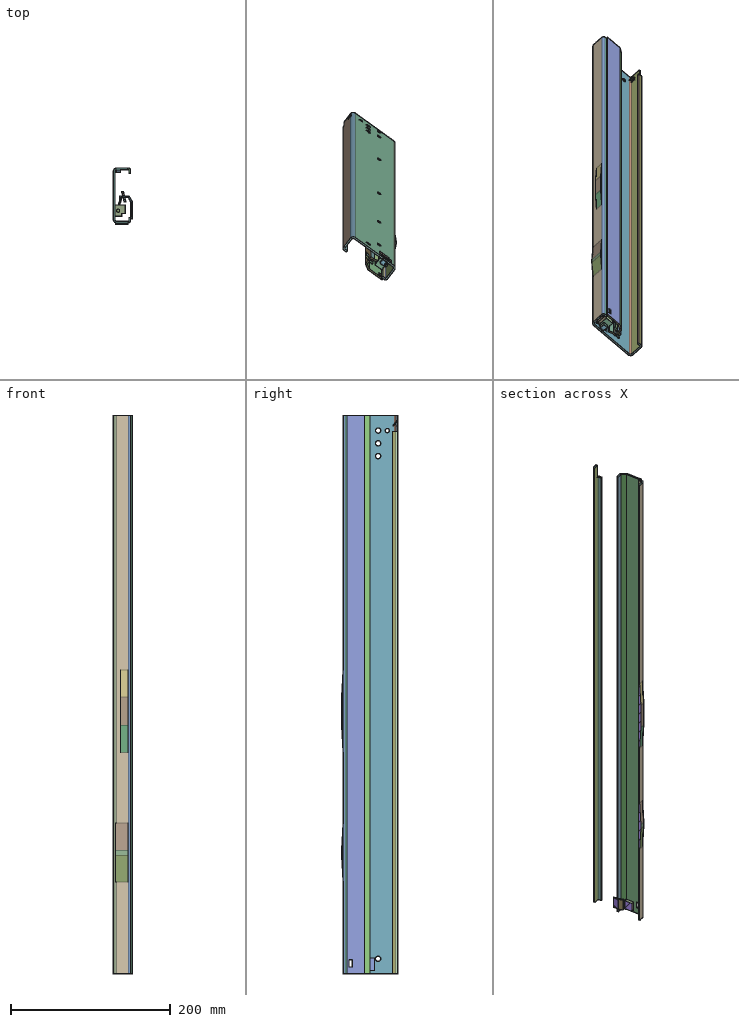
import cadquery as cq

length = 700.0
depth = 24.0
height = 70.8
back_x = -depth / 2
front_x = depth / 2
top_y = height / 2
half_length = length / 2

channel_wall = 2.3
pad_height = 1.9
bottom_y = -height / 2 + pad_height
inner_rail_wall = 2.1
lip_x = front_x - inner_rail_wall
lip_reach = 6.9
lip_relief_x = 6.2
lip_relief_length = 20.0
back_bend = 4.4
lip_bend = 3.0
web_inner_x = back_x + channel_wall

mount_hole_diameter = 6.3
mount_hole_y = 10.5
mount_hole_heights = (331.0, 315.0, 299.0, -331.0)
corner_hole_diameter = 5.0
corner_hole_y = 22.0
rivet_hole_diameter = 3.2
rivet_sink_diameter = 5.4
sink_angle = 45.0
rivet_hole_y = -6.2
rivet_hole_heights = (342.0, 315.0, 187.5, -4.0, -164.5, -293.0)

long_pad_x = (-2.8, 6.5)
long_pad_z = (-72.5, -38.5, -3.0, 31.0)
short_pad_x = (-9.3, 6.5)
short_pad_z = (-235.0, -201.5, -195.0, -161.0)

stop_x = (-8.4, -2.8)
stop_z = (336.5, 345.0)
stop_drop = 6.0
stop_thickness = 1.5

seat_y = (-22.0, -7.4)
seat_z = (-341.0, -327.5)
seat_depth = 1.8
slit_width = 3.8
slit_height = 8.5
slit_top_z = seat_z[0] + slit_height
block_y = (seat_y[0], -11.0)
block_reach = 13.0
block_step_y = -25.2
block_step_reach = 8.5
block_hole_diameter = 4.0
block_hole_depth = 6.0
block_hole_x = -5.8
block_hole_y = -18.2
foot_y = (-20.0, -14.0)
foot_drop = 6.0
foot_z = (seat_z[0] - foot_drop, seat_z[0])
foot_reach = 6.5

rail_foot_y = -28.5
rail_shoulder_y = -6.5
rail_top_y = 0.5
rail_flange_x = (-3.8, 7.8)
rail_leg_y = -5.0
rail_toe_x = -5.6
rail_toe_y = -10.0
tongue_tip = (-1.5, 5.8)
tongue_root = (1.7, -7.2)
tongue_width = 2.4
tongue_z = (-346.0, -330.0)


def box_between(x_range, y_range, z_range):
    """Box filling the given X, Y and Z ranges."""
    size = [r[1] - r[0] for r in (x_range, y_range, z_range)]
    return cq.Workplane("XY").box(*size, centered=False).translate((x_range[0], y_range[0], z_range[0]))


def extrude_section(points):
    """Closed XY section drawn out over the whole length of the slide."""
    return cq.Workplane("XY", origin=(0, 0, -half_length)).polyline(points).close().extrude(length)


def extrude_across(yz_points, x_range):
    """Closed YZ outline drawn out over an X range."""
    start = cq.Workplane("YZ", origin=(x_range[0], 0, 0))
    return start.polyline(yz_points).close().extrude(x_range[1] - x_range[0])


def round_edges(body, corner_radii):
    """Round each lengthwise edge standing at the given (x, y)."""
    for (x, y), radius in corner_radii.items():
        nearest = cq.selectors.NearestToPointSelector((x, y, 0))
        body = body.edges("|Z").edges(nearest).fillet(radius)
    return body


def channel_section():
    """C-shaped channel with short lips turned toward each other."""
    inner_top = top_y - channel_wall
    inner_bottom = bottom_y + channel_wall
    lip_inner_x = lip_x - channel_wall
    body = extrude_section([
        (back_x, bottom_y), (lip_x, bottom_y), (lip_x, bottom_y + lip_reach),
        (lip_inner_x, bottom_y + lip_reach), (lip_inner_x, inner_bottom), (web_inner_x, inner_bottom),
        (web_inner_x, inner_top), (lip_inner_x, inner_top), (lip_inner_x, top_y - lip_reach),
        (lip_x, top_y - lip_reach), (lip_x, top_y), (back_x, top_y),
    ])
    corners = {}
    for outer_y, inner_y in ((top_y, inner_top), (bottom_y, inner_bottom)):
        corners[(back_x, outer_y)] = back_bend
        corners[(lip_x, outer_y)] = lip_bend
        corners[(web_inner_x, inner_y)] = back_bend - channel_wall
        corners[(lip_inner_x, inner_y)] = lip_bend - channel_wall
    return round_edges(body, corners)


def web_holes(diameter, places):
    """Round cutters through the web at the given (y, z) places."""
    start = cq.Workplane("YZ", origin=(back_x, 0, 0)).pushPoints(places)
    return start.circle(diameter / 2).extrude(channel_wall)


def rivet_holes():
    """Small countersunk cutters through the web, wide at the outer face."""
    places = [(rivet_hole_y, z) for z in rivet_hole_heights]
    sink_depth = (rivet_sink_diameter - rivet_hole_diameter) / 2
    start = cq.Workplane("YZ", origin=(back_x, 0, 0)).pushPoints(places)
    sinks = start.circle(rivet_sink_diameter / 2).extrude(sink_depth, taper=sink_angle)
    return web_holes(rivet_hole_diameter, places).union(sinks)


def lip_relief():
    """Cutter that clears the upper lip away at the upper end."""
    return box_between(
        (lip_relief_x, front_x), (top_y - lip_reach, top_y), (half_length - lip_relief_length, half_length)
    )


def flange_pad(x_range, z_stops):
    """Pad that ramps up from the lower flange to a flat crest and down again."""
    lower, crest_start, crest_end, upper = z_stops
    root_y = bottom_y + channel_wall / 2
    crest_y = bottom_y - pad_height
    return extrude_across(
        [(root_y, lower), (bottom_y, lower), (crest_y, crest_start), (crest_y, crest_end),
         (bottom_y, upper), (root_y, upper)],
        x_range,
    )


def stop_tab():
    """Sloping tab hung from the upper end of its slot in the upper flange."""
    low, high = stop_z
    toe_y = top_y - stop_drop
    outline = [(top_y, high), (toe_y, low + stop_thickness), (toe_y, low), (top_y, high - stop_thickness)]
    hinge = box_between(stop_x, (top_y - channel_wall, top_y), (high - stop_thickness, high))
    return extrude_across(outline, stop_x).union(hinge)


def build_channel():
    body = channel_section()
    body = body.cut(web_holes(mount_hole_diameter, [(mount_hole_y, z) for z in mount_hole_heights]))
    body = body.cut(web_holes(corner_hole_diameter, [(corner_hole_y, mount_hole_heights[0])]))
    body = body.cut(rivet_holes())
    body = body.cut(lip_relief())
    body = body.union(flange_pad(long_pad_x, long_pad_z))
    body = body.union(flange_pad(short_pad_x, short_pad_z))
    body = body.cut(box_between(stop_x, (top_y - back_bend, top_y), stop_z)).union(stop_tab())

    body = body.union(latch_block())

    seat_x = (back_x, back_x + seat_depth)
    body = body.cut(box_between(seat_x, seat_y, seat_z))
    body = body.cut(box_between(seat_x, foot_y, foot_z))
    return body.cut(latch_slit())


def latch_block():
    """Stepped block with a foot, standing on the inside of the web behind the seat."""
    block_x = (web_inner_x, web_inner_x + block_reach)
    step_x = (web_inner_x, web_inner_x + block_step_reach)
    foot_x = (web_inner_x, web_inner_x + foot_reach)
    block = box_between(block_x, block_y, seat_z)
    block = block.union(box_between(step_x, (block_step_y, block_y[0]), (slit_top_z, seat_z[1])))
    block = block.union(box_between(foot_x, foot_y, foot_z))
    hole_start = cq.Workplane("XY", origin=(block_hole_x, block_hole_y, seat_z[1]))
    return block.cut(hole_start.circle(block_hole_diameter / 2).extrude(-block_hole_depth))


def latch_slit():
    """Slit beside the latch seat, open through the channel and the inner rail."""
    y_range = (seat_y[0] - slit_width, seat_y[0])
    return box_between((back_x, front_x), y_range, (seat_z[0], slit_top_z))


def latch_tongue():
    """Slanted tongue that crosses the rail flange at the lower end."""
    tip_x, tip_y = tongue_tip
    root_x, root_y = tongue_root
    start = cq.Workplane("XY", origin=(0, 0, tongue_z[0]))
    outline = start.polyline([
        (root_x, root_y), (root_x + tongue_width, root_y), (tip_x + tongue_width, tip_y), (tip_x, tip_y),
    ])
    return outline.close().extrude(tongue_z[1] - tongue_z[0])


def build_inner_rail():
    """Bent rail seated against the lower lip, with a hooked leg and a latch tongue."""
    wall_x = front_x - inner_rail_wall
    under_y = rail_top_y - inner_rail_wall
    leg_x, shoulder_x = rail_flange_x
    body = extrude_section([
        (front_x, rail_foot_y), (front_x, rail_shoulder_y), (shoulder_x, rail_top_y),
        (leg_x, rail_top_y), (leg_x, rail_leg_y), (rail_toe_x, rail_toe_y),
        (rail_toe_x + inner_rail_wall, rail_toe_y), (leg_x + inner_rail_wall, rail_leg_y),
        (leg_x + inner_rail_wall, under_y), (shoulder_x - inner_rail_wall / 2, under_y),
        (wall_x, rail_shoulder_y - inner_rail_wall / 2), (wall_x, rail_foot_y),
    ])
    return body.union(latch_tongue()).cut(latch_slit())


channel = build_channel()
inner_rail = build_inner_rail()
result = cq.Compound.makeCompound([channel.val(), inner_rail.val()])